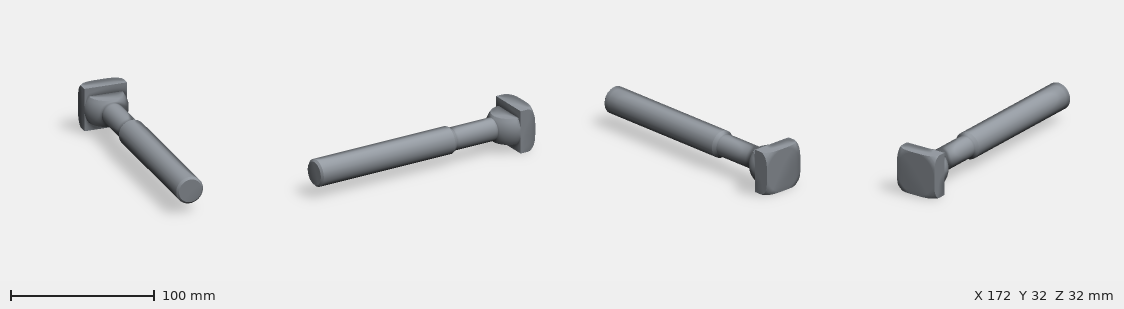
import cadquery as cq
import math

LENGTH = 172.0
HEAD_WIDTH = 32.0
HEAD_THICKNESS = 12.0
TONGUE_HEIGHT = 19.7
SHANK_DIAMETER = 20.0
SHANK_LENGTH = 110.0
SHANK_END_CHAMFER = 1.5
NECK_DIAMETER = 16.6
SHOULDER_ANGLE = 30.0

HEAD_RADIUS = HEAD_WIDTH / 2
SHANK_RADIUS = SHANK_DIAMETER / 2
NECK_RADIUS = NECK_DIAMETER / 2
CORNER_RADIUS = HEAD_RADIUS * math.sqrt(2)
ROUNDING_RADIUS = CORNER_RADIUS - HEAD_RADIUS
SHANK_START = LENGTH - SHANK_LENGTH
SHOULDER_LENGTH = (SHANK_RADIUS - NECK_RADIUS) / math.tan(math.radians(SHOULDER_ANGLE))


def make_head():
    """Square head whose front corners are rounded by a turned envelope."""
    square = cq.Workplane("YZ").rect(HEAD_WIDTH, HEAD_WIDTH).extrude(HEAD_THICKNESS)
    envelope = cq.Workplane("YZ").circle(CORNER_RADIUS).extrude(HEAD_THICKNESS)
    envelope = envelope.faces("<X").edges().fillet(ROUNDING_RADIUS)
    return square.intersect(envelope)


def make_tongue():
    """Half ball behind the head, cut flat above and below."""
    ball = cq.Workplane("XY").sphere(HEAD_RADIUS).translate((HEAD_THICKNESS, 0, 0))
    slab = (
        cq.Workplane("YZ", origin=(HEAD_THICKNESS, 0, 0))
        .rect(HEAD_WIDTH, TONGUE_HEIGHT)
        .extrude(HEAD_RADIUS)
    )
    return ball.intersect(slab)


def make_stem():
    """Neck, conical shoulder and shank, turned about the X axis."""
    return (
        cq.Workplane("XY")
        .moveTo(HEAD_THICKNESS, 0)
        .lineTo(HEAD_THICKNESS, NECK_RADIUS)
        .lineTo(SHANK_START - SHOULDER_LENGTH, NECK_RADIUS)
        .lineTo(SHANK_START, SHANK_RADIUS)
        .lineTo(LENGTH - SHANK_END_CHAMFER, SHANK_RADIUS)
        .lineTo(LENGTH, SHANK_RADIUS - SHANK_END_CHAMFER)
        .lineTo(LENGTH, 0)
        .close()
        .revolve(360, (0, 0, 0), (1, 0, 0))
    )


result = make_head().union(make_tongue()).union(make_stem())